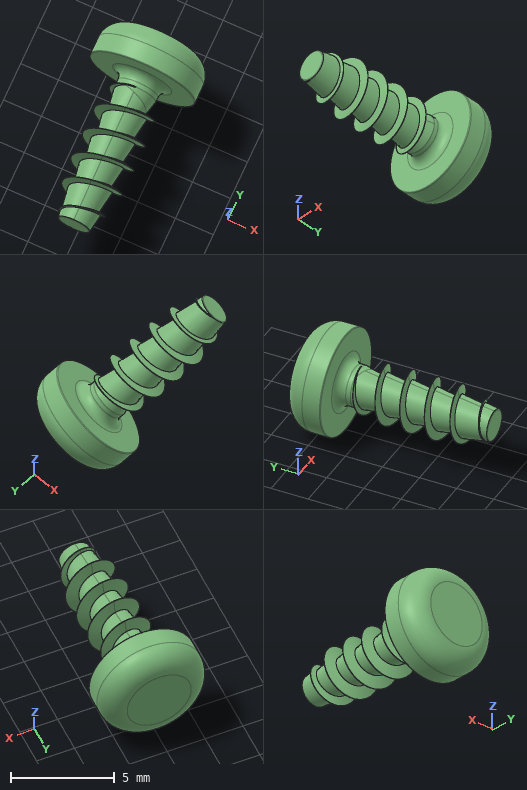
import cadquery as cq
import math


head_radius = 2.8
head_height = 2.09
crown_radius = 1.11
rim_round = 0.04

neck_radius = 1.06
neck_fillet = 0.5
neck_end = 0.76
neck_cone_slope = 0.24
neck_cone_tip_radius = 0.81

total_length = 10.1
shank_length = total_length - head_height
tip_radius = 0.84
tip_face_radius = 0.78
tip_bevel_slope = 0.25
root_radius = 1.05
root_slope = 0.15

pitch = 1.33
crest_radius = 1.52
crest_half_width = 0.01
least_tooth_height = 0.01
head_flank_slope = 0.27
tip_flank_slope = 0.18
full_turns = 4
run_out_turns = 1.5
run_out_start = shank_length - run_out_turns * pitch
run_out_slope = (crest_radius - tip_radius) / (run_out_turns * pitch)
thread_start = run_out_start - full_turns * pitch
lead_in_length = 1.46
lead_in_slope = 0.21
start_shift = 0.14
shift_length = pitch / 3
points_per_turn = 36



def helix_point(station, radius, depth):
    angle = 2 * math.pi * (thread_start - station) / pitch
    return cq.Vector(radius * math.sin(angle), -depth, radius * math.cos(angle))


def root_radius_at(station):
    """Root radius under the crest, limited by the cone that ends at the tip."""
    tip_cone_radius = tip_radius + root_slope * (shank_length - station)
    return min(root_radius, tip_cone_radius)


def crest_radius_at(station):
    """Crest radius, growing along the lead-in and shrinking along the run-out."""
    lead_in_loss = lead_in_slope * max(0, thread_start + lead_in_length - station)
    run_out_loss = run_out_slope * max(0, station - run_out_start)
    lowest = root_radius_at(station) + least_tooth_height
    return max(lowest, crest_radius - lead_in_loss - run_out_loss)


def crest_depth_at(station):
    remaining = max(0, 1 - (station - thread_start) / shift_length)
    return station + start_shift * remaining ** 2


def head_base(station):
    """Where the head-side flank meets the root line of the turn before."""
    crest = crest_radius_at(station)
    root_above = root_radius_at(station - pitch)
    flank_reach = crest_half_width + head_flank_slope * crest
    radius = (root_above - root_slope * (pitch - flank_reach)) / (1 + root_slope * head_flank_slope)
    return radius, station - flank_reach + head_flank_slope * radius


def head_crest(station):
    return crest_radius_at(station), crest_depth_at(station) - crest_half_width


def tip_crest(station):
    return crest_radius_at(station), crest_depth_at(station) + crest_half_width


def tip_base(station):
    """Where the tip-side flank meets the root line of its own turn."""
    crest = crest_radius_at(station)
    flank_reach = crest_half_width + tip_flank_slope * crest
    radius = (root_radius_at(station) - root_slope * flank_reach) / (1 - root_slope * tip_flank_slope)
    return radius, station + flank_reach - tip_flank_slope * radius


def next_head_base(station):
    return head_base(station + pitch)


tooth = [head_base, head_crest, tip_crest, tip_base]
bare_root = [head_base, tip_base]


def turn_edge(corner, start):
    """One full turn of the helix traced by a section corner."""
    stations = [start + pitch * i / points_per_turn for i in range(points_per_turn + 1)]
    return cq.Edge.makeSpline([helix_point(s, *corner(s)) for s in stations])


def turn_faces(corners, start):
    edges = [turn_edge(corner, start) for corner in corners + [next_head_base]]
    return [cq.Face.makeRuledSurface(a, b) for a, b in zip(edges, edges[1:])]


def section_face(corners, station):
    points = [helix_point(station, *corner(station)) for corner in corners]
    return cq.Face.makeFromWires(cq.Wire.makePolygon(points, close=True))


def end_faces(corners, station):
    """Flat step and helicoid that close the rod down to its axis."""
    def axis_start(at):
        return 0, head_base(at)[1]

    def axis_end(at):
        return 0, next_head_base(at)[1]

    step = section_face([axis_start] + corners + [next_head_base, axis_end], station)
    axis = cq.Edge.makeLine(
        helix_point(station, *axis_start(station)), helix_point(station, *axis_end(station))
    )
    return [step, cq.Face.makeRuledSurface(axis, turn_edge(head_base, station))]


def make_threaded_rod():
    """Rod with thread and root; it starts inside the head and runs on past the tip."""
    rod_start = thread_start - pitch
    thread_turns = full_turns + math.ceil(run_out_turns)
    rod_end = thread_start + thread_turns * pitch
    faces = end_faces(bare_root, rod_start) + turn_faces(bare_root, rod_start)
    faces.append(section_face(tooth, thread_start))
    for turn in range(thread_turns):
        faces += turn_faces(tooth, thread_start + turn * pitch)
    faces += end_faces(tooth, rod_end)
    solid = cq.Solid.makeSolid(cq.Shell.makeShell(faces))
    return cq.Workplane(obj=solid.fix())


def make_head():
    diagonal = math.sqrt(0.5)
    side_end = head_height - crown_radius
    crown_center = head_radius - crown_radius
    crown_mid = crown_radius * diagonal
    rim_mid = rim_round * (1 - diagonal)
    fillet_mid = neck_fillet * (1 - diagonal)
    cone_end = neck_end + (neck_radius - neck_cone_tip_radius) / neck_cone_slope
    return (
        cq.Workplane("XY")
        .moveTo(0, head_height)
        .lineTo(crown_center, head_height)
        .threePointArc((crown_center + crown_mid, side_end + crown_mid), (head_radius, side_end))
        .lineTo(head_radius, rim_round)
        .threePointArc((head_radius - rim_mid, rim_mid), (head_radius - rim_round, 0))
        .lineTo(neck_radius + neck_fillet, 0)
        .threePointArc((neck_radius + fillet_mid, -fillet_mid), (neck_radius, -neck_fillet))
        .lineTo(neck_radius, -neck_end)
        .lineTo(neck_cone_tip_radius, -cone_end)
        .lineTo(0, -cone_end)
        .close()
        .revolve(360, (0, 0, 0), (0, 1, 0))
    )


def make_shank_envelope():
    """Room between the neck and the tip, with a shallow bevel around the tip face."""
    bevel_reach = tip_bevel_slope * (head_radius - tip_face_radius)
    return (
        cq.Workplane("XY")
        .moveTo(0, -neck_end)
        .lineTo(head_radius, -neck_end)
        .lineTo(head_radius, bevel_reach - shank_length)
        .lineTo(tip_face_radius, -shank_length)
        .lineTo(0, -shank_length)
        .close()
        .revolve(360, (0, 0, 0), (0, 1, 0))
    )


shank = make_threaded_rod().intersect(make_shank_envelope())
result = make_head().union(shank).solids()